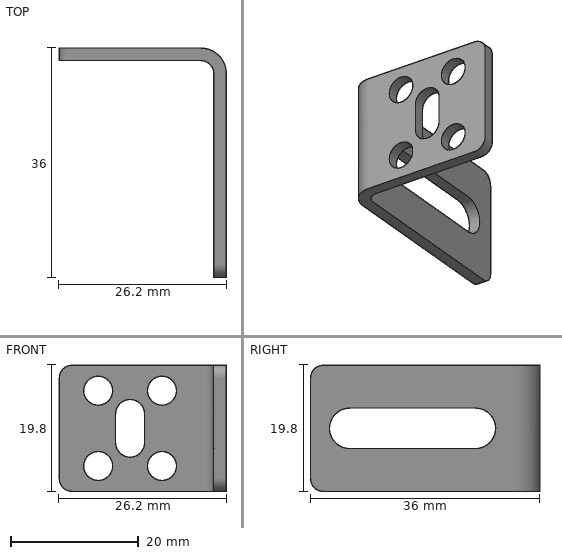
import cadquery as cq

length_x = 26.2
length_y = 36.0
height = 19.8

thickness = 2.0
inner_bend_radius = 2.0
outer_bend_radius = inner_bend_radius + thickness
corner_radius = 2.0

hole_diameter = 4.5
hole_spacing_x = 10.0
hole_spacing_z = 11.8
pattern_from_free_end = 11.1
small_slot_length = 9.0
small_slot_width = hole_diameter

long_slot_length = 26.0
long_slot_width = 6.3
long_slot_from_free_end = 16.0

free_end_x = -length_x / 2
free_end_y = -length_y / 2
outer_face_x = length_x / 2
outer_face_y = length_y / 2


def bent_sheet():
    """L-shaped sheet with concentric inner and outer bend radii."""
    inner_face_x = outer_face_x - thickness
    inner_face_y = outer_face_y - thickness
    bend_start_x = outer_face_x - outer_bend_radius
    bend_start_y = outer_face_y - outer_bend_radius
    return (
        cq.Workplane("XY", origin=(0, 0, -height / 2))
        .moveTo(free_end_x, outer_face_y)
        .lineTo(bend_start_x, outer_face_y)
        .radiusArc((outer_face_x, bend_start_y), outer_bend_radius)
        .lineTo(outer_face_x, free_end_y)
        .lineTo(inner_face_x, free_end_y)
        .lineTo(inner_face_x, bend_start_y)
        .radiusArc((bend_start_x, inner_face_y), -inner_bend_radius)
        .lineTo(free_end_x, inner_face_y)
        .close()
        .extrude(height)
    )


def round_free_corners(body):
    """Round the top and bottom corners at the free end of each leg."""
    body = body.faces("<X").edges("|Y").fillet(corner_radius)
    return body.faces("<Y").edges("|X").fillet(corner_radius)


def short_leg_cutouts():
    """Cutters through the short leg; local x is X, local y is Z, pointing to -Y."""
    pattern_x = free_end_x + pattern_from_free_end
    plane = cq.Workplane("XZ", origin=(pattern_x, outer_face_y, 0))
    holes = (
        plane.rarray(hole_spacing_x, hole_spacing_z, 2, 2)
        .circle(hole_diameter / 2)
        .extrude(thickness)
    )
    slot = plane.slot2D(small_slot_length, small_slot_width, 90).extrude(thickness)
    return holes.union(slot)


def long_leg_cutout():
    """Slot cutter through the long leg, running along Y."""
    slot_y = free_end_y + long_slot_from_free_end
    return (
        cq.Workplane("YZ", origin=(outer_face_x - thickness, slot_y, 0))
        .slot2D(long_slot_length, long_slot_width)
        .extrude(thickness)
    )


bracket = round_free_corners(bent_sheet())
result = bracket.cut(short_leg_cutouts()).cut(long_leg_cutout())